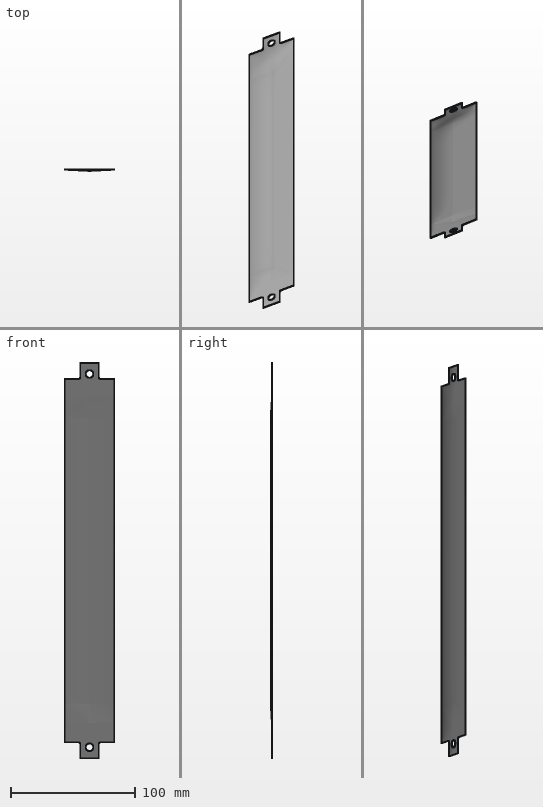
import cadquery as cq
import math

strip_width = 40.0
overall_length = 318.0
overall_depth = 1.5
sheet_thickness = 0.5

crease_length = 230.0
transition_length = 16.0
ridge_radius = 10.0

tab_width = 15.0
tab_length = 13.0
tab_root_radius = 1.5
hole_diameter = 6.0
hole_to_tab_end = 9.0

half_width = strip_width / 2
half_tab = tab_width / 2
half_crease = crease_length / 2
flat_start = half_crease + transition_length
tab_end = overall_length / 2
shoulder = tab_end - tab_length

ridge_rise = overall_depth - sheet_thickness
tangency_factor = 2 * ridge_radius - ridge_rise
tangency_root = math.sqrt(half_width**2 - ridge_rise * tangency_factor)
flank_angle = 2 * math.atan((half_width - tangency_root) / tangency_factor)
half_ridge = ridge_radius * math.sin(flank_angle)
ridge_edge_rise = (half_width - half_ridge) * math.tan(flank_angle)


def section(height, edge_rise, middle_rise):
    """Closed cross-section of the sheet at a given Z.

    The sheet sits edge_rise towards -Y at the sides of the ridge and middle_rise at its centre.
    Both faces have the same profile, one sheet thickness apart along Y.
    """

    def face_points(face_y):
        return [
            cq.Vector(-half_width, face_y, height),
            cq.Vector(-half_ridge, face_y - edge_rise, height),
            cq.Vector(0, face_y - middle_rise, height),
            cq.Vector(half_ridge, face_y - edge_rise, height),
            cq.Vector(half_width, face_y, height),
        ]

    def face_edges(points):
        left, ridge_left, ridge_middle, ridge_right, right = points
        if middle_rise > edge_rise:
            ridge = cq.Edge.makeThreePointArc(ridge_left, ridge_middle, ridge_right)
        else:
            ridge = cq.Edge.makeLine(ridge_left, ridge_right)
        return [cq.Edge.makeLine(left, ridge_left), ridge, cq.Edge.makeLine(ridge_right, right)]

    front = face_points(0)
    back = face_points(sheet_thickness)[::-1]
    right_side = cq.Edge.makeLine(front[-1], back[0])
    left_side = cq.Edge.makeLine(back[-1], front[0])
    return cq.Wire.assembleEdges([*face_edges(front), right_side, *face_edges(back), left_side])


def creased_section(height):
    return section(height, ridge_edge_rise, ridge_rise)


def flat_section(height):
    return section(height, 0, 0)


def ruled_span(start, end):
    """Solid ruled between two cross-sections."""
    return cq.Workplane("XY").newObject([cq.Solid.makeLoft([start, end], True)])


def flat_end():
    """Flat upper end plate with its narrower mounting tab and bolt hole."""
    outline = [
        (-half_width, flat_start),
        (-half_width, shoulder),
        (-half_tab, shoulder),
        (-half_tab, tab_end),
        (half_tab, tab_end),
        (half_tab, shoulder),
        (half_width, shoulder),
        (half_width, flat_start),
    ]
    back_plane = cq.Workplane("XZ", origin=(0, sheet_thickness, 0))
    plate = back_plane.polyline(outline).close().extrude(sheet_thickness)
    for side in (-1, 1):
        root = cq.selectors.NearestToPointSelector((side * half_tab, sheet_thickness / 2, shoulder))
        plate = plate.edges("|Y").edges(root).fillet(tab_root_radius)
    hole = (
        back_plane.center(0, tab_end - hole_to_tab_end)
        .circle(hole_diameter / 2)
        .extrude(sheet_thickness)
    )
    return plate.cut(hole)


transition = ruled_span(creased_section(half_crease), flat_section(flat_start))
upper_end = flat_end().union(transition)
creased_middle = ruled_span(creased_section(-half_crease), creased_section(half_crease))
result = creased_middle.union(upper_end).union(upper_end.mirror("XY"))